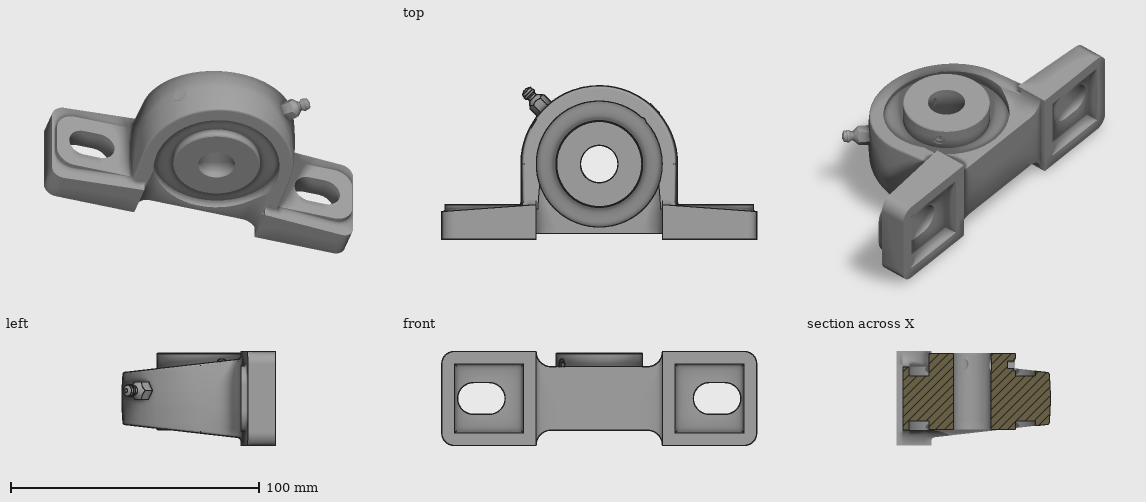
import cadquery as cq
import math

length = 127.0
foot_width = 38.0
foot_inner_x = 25.4
foot_outer_height = 11.2
pad_height = 14.0
foot_corner_radius = 5.1
pad_inset = 1.3
pad_width = 26.2
pad_corner_radius = 7.6
pad_blend = 0.6
pocket_size = 28.0
pocket_inset = 5.1
pocket_depth = 5.0
pocket_floor_blend = 1.0
slot_pitch = 95.0
slot_length = 19.0
slot_width = 12.7

axis_height = 30.4
housing_radius = 31.6
wall_bulge = 1.7
rim_blend = 0.9
crown_half_thickness = 10.4
face_slope = 0.114
foot_blend = 1.7
neck_bottom = 2.3
shoulder_height = 12.2
neck_thickness = 25.7
neck_arc_radius = 6.0

seat_radius = 25.4
seat_half_thickness = 9.1
stop_notch_radius = 2.0
stop_notch_offset = 23.7
stop_notch_angle = 45
ring_radius = 17.5
ring_top = 18.3
ring_bottom = -12.7
ring_chamfer = 0.4
bore_radius = 7.5
screw_angles = (90, 210)
screw_height = 13.6
screw_radius = 2.4
screw_recess = 0.6
screw_tip_gap = 0.1
socket_size = 2.5
socket_depth = 2.5

nipple_angle = 135
nipple_height = 3.2
nipple_hex_size = 7.0
nipple_root = 28.0
nipple_tip = 42.3
plug_angle = 45
plug_radius = 2.7
plug_reach = 31.8

half_length = length / 2
half_width = foot_width / 2
half_neck = neck_thickness / 2
crown_y = axis_height + housing_radius


def half_thickness(y):
    """Half thickness of the wedge-shaped housing at height y."""
    return crown_half_thickness + face_slope * (crown_y - y)


def radial_direction(angle):
    """Unit vector pointing away from the bearing axis."""
    return cq.Vector(math.cos(math.radians(angle)), math.sin(math.radians(angle)), 0)


def radial(angle, height, start):
    """Workplane at distance start from the bearing axis, facing outward at the given angle."""
    direction = radial_direction(angle)
    origin = cq.Vector(0, axis_height, height) + direction * start
    return cq.Workplane(cq.Plane(origin=origin, xDir=(0, 0, 1), normal=direction))


def axial(z):
    """Workplane across the bearing axis at height z."""
    return cq.Workplane("XY", origin=(0, axis_height, z))


def make_housing():
    """U-shaped block with slightly barrelled walls, thinning toward the crown."""
    edge_x = housing_radius - wall_bulge
    section = (
        cq.Workplane("XZ")
        .moveTo(0, -half_width)
        .lineTo(edge_x, -half_width)
        .threePointArc((housing_radius, 0), (edge_x, half_width))
        .lineTo(0, half_width)
        .close()
    )
    side = section.extrude(-axis_height)
    crown = section.toPending().revolve(360, (0, 0), (0, 1)).translate((0, axis_height, 0))
    top_y = crown_y + 1.3
    low, high = half_thickness(neck_bottom), half_thickness(top_y)
    wedge = (
        cq.Workplane("YZ")
        .polyline([(neck_bottom, -low), (top_y, -high), (top_y, high), (neck_bottom, low)])
        .close()
        .extrude(housing_radius, both=True)
    )
    block = crown.union(side).union(side.mirror("YZ")).intersect(wedge)
    return block.faces(">Z or <Z").edges("not <Y").fillet(rim_blend)


def make_foot():
    """Left foot with a sloping top and two rounded outer corners."""
    return (
        cq.Workplane("XY")
        .polyline([
            (-half_length, 0),
            (-foot_inner_x, 0),
            (-foot_inner_x, pad_height),
            (-half_length, foot_outer_height),
        ])
        .close()
        .extrude(half_width, both=True)
        .faces("<X")
        .edges("|Y")
        .fillet(foot_corner_radius)
    )


def make_padded_foot():
    """Left foot with a flat raised pad blended into its sloping top."""
    pad_length = half_length - pad_inset - foot_inner_x
    pad = (
        cq.Workplane("XY")
        .box(pad_length, pad_height, pad_width, centered=(False, False, True))
        .translate((pad_inset - half_length, 0, 0))
        .faces("<X")
        .edges("|Y")
        .fillet(pad_corner_radius)
    )
    pad_base = cq.selectors.BoxSelector(
        (-half_length, foot_outer_height - pad_blend, -half_width + pad_blend),
        (-foot_inner_x - pad_blend, pad_height - pad_blend / 10, half_width - pad_blend),
    )
    return make_foot().union(pad).edges(pad_base).fillet(pad_blend)


def make_neck_block():
    """Full-width block between the feet, from which the neck is cut."""
    block_height = shoulder_height - neck_bottom
    block = cq.Workplane("XY").box(2 * foot_inner_x, block_height, foot_width)
    return block.translate((0, neck_bottom + block_height / 2, 0))


def blend_feet(body):
    """Round the inside corners where the housing rises from the feet."""
    for side in (-1, 1):
        inner = side * (foot_inner_x + 0.1)
        outer = side * (housing_radius + 0.4)
        corners = cq.selectors.BoxSelector(
            (min(inner, outer), foot_outer_height, -half_width + foot_blend),
            (max(inner, outer), pad_height + foot_blend, half_width - foot_blend),
        )
        body = body.edges(corners).fillet(foot_blend)
    return body


def make_neck_cutter():
    """Material removed on the +Z side between the feet, rounded into both feet."""
    arc_x = foot_inner_x - neck_arc_radius
    arc_z = half_neck + neck_arc_radius
    dip = neck_arc_radius * math.sqrt(0.5)
    return (
        cq.Workplane("XZ", origin=(0, -neck_bottom, 0))
        .moveTo(-foot_inner_x, arc_z)
        .threePointArc((-arc_x - dip, arc_z - dip), (-arc_x, half_neck))
        .lineTo(arc_x, half_neck)
        .threePointArc((arc_x + dip, arc_z - dip), (foot_inner_x, arc_z))
        .lineTo(foot_inner_x, foot_width)
        .lineTo(-foot_inner_x, foot_width)
        .close()
        .extrude(-crown_y)
    )


def make_foot_cutter():
    """Square pocket under the left foot and the bolt slot through it."""
    pocket = (
        cq.Workplane("XY")
        .box(pocket_size, pocket_depth, pocket_size, centered=(False, False, True))
        .translate((pocket_inset - half_length, 0, 0))
        .faces(">Y")
        .edges()
        .fillet(pocket_floor_blend)
    )
    slot = (
        cq.Workplane("XZ")
        .center(-slot_pitch / 2, 0)
        .slot2D(slot_length, slot_width)
        .extrude(-2 * pad_height)
    )
    return pocket.union(slot)


def make_bore():
    """Shaft bore through the inner ring."""
    return axial(ring_bottom).circle(bore_radius).extrude(ring_top - ring_bottom)


def make_ring():
    """Inner ring of the bearing with its bore and set screws."""
    ring = (
        axial(ring_bottom)
        .circle(ring_radius)
        .extrude(ring_top - ring_bottom)
        .edges()
        .chamfer(ring_chamfer)
        .cut(make_bore())
    )
    screw_tip = bore_radius + screw_tip_gap
    screw_length = ring_radius - screw_recess - screw_tip
    for angle in screw_angles:
        hole = radial(angle, screw_height, 0).circle(screw_radius).extrude(ring_radius)
        screw = (
            radial(angle, screw_height, screw_tip)
            .circle(screw_radius)
            .extrude(screw_length)
            .faces(cq.selectors.DirectionMinMaxSelector(radial_direction(angle)))
            .workplane()
            .polygon(6, socket_size, circumscribed=True)
            .cutBlind(-socket_depth)
        )
        ring = ring.cut(hole).union(screw)
    return ring


def make_nipple():
    """Grease nipple: hexagon with a tapered shoulder and a grooved round head."""
    tip_radius = 0.8
    head_radius = 2.3
    ridge_radius = 2.5
    groove_radius = 1.9
    shoulder_start, shoulder_end = 35.4, 37.5
    groove_start, groove_end = 37.7, 38.7
    ridge_start, ridge_end = 39.4, 40.3
    head_start, head_end = 40.4, 41.5
    corner_radius = nipple_hex_size / math.sqrt(3)
    outline = [
        (nipple_root, 0),
        (nipple_root, corner_radius),
        (shoulder_start, corner_radius),
        (shoulder_end, head_radius),
        (groove_start, groove_radius),
        (groove_end, groove_radius),
        (ridge_start, ridge_radius),
        (ridge_end, ridge_radius),
        (head_start, head_radius),
        (head_end, head_radius),
        (nipple_tip, tip_radius),
        (nipple_tip, 0),
    ]
    turned = (
        cq.Workplane("XY")
        .polyline(outline)
        .close()
        .revolve(360, (0, 0), (1, 0))
        .rotate((0, 0, 0), (0, 0, 1), nipple_angle)
        .translate((0, axis_height, nipple_height))
    )
    hexagon = radial(nipple_angle, nipple_height, nipple_root)
    hexagon = hexagon.polygon(6, nipple_hex_size, circumscribed=True)
    return turned.intersect(hexagon.extrude(nipple_tip - nipple_root))


foot = make_foot()
body = blend_feet(make_housing().union(make_neck_block()).union(foot).union(foot.mirror("YZ")))
neck_cutter = make_neck_cutter()
body = body.cut(neck_cutter).cut(neck_cutter.mirror("XY"))

seat = axial(seat_half_thickness).circle(seat_radius).extrude(half_width)
body = body.cut(seat).cut(seat.mirror("XY"))

padded_foot = make_padded_foot()
body = body.union(padded_foot).union(padded_foot.mirror("YZ"))
foot_cutter = make_foot_cutter()
body = body.cut(foot_cutter).cut(foot_cutter.mirror("YZ"))

notch = (
    axial(seat_half_thickness)
    .polarArray(stop_notch_offset, stop_notch_angle, 0, 1)
    .circle(stop_notch_radius)
    .extrude(half_width)
)
body = body.cut(notch)

plug = radial(plug_angle, 0, seat_radius).circle(plug_radius).extrude(plug_reach - seat_radius)
result = body.cut(make_bore()).union(make_ring()).union(plug).union(make_nipple())